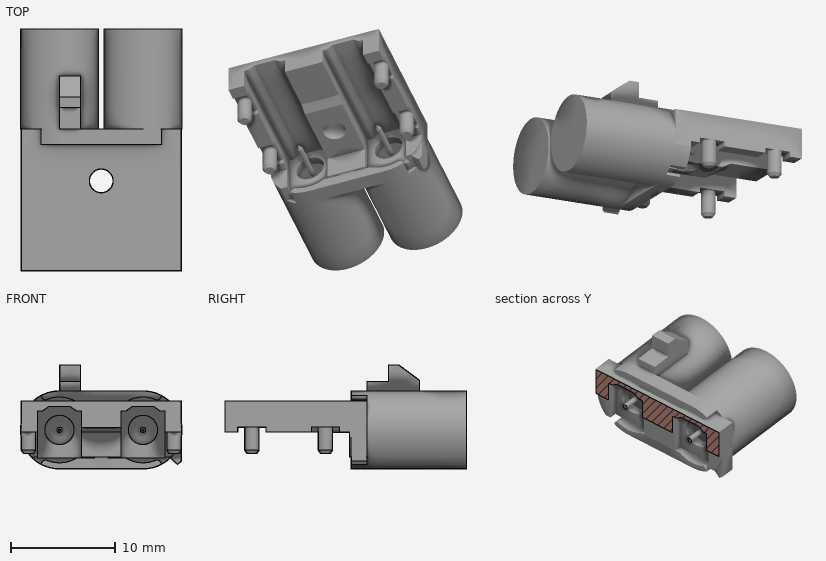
import cadquery as cq
import math

length = 23.2
width = 15.5

barrel_radius = 7.5 / 2
barrel_x = width / 2 - barrel_radius
barrel_start = 13.62

plate_half_width = 7.68
plate_top = 2.78
plate_bottom = -0.2
plate_hole_diameter = 2.25
plate_hole_y = 8.63

channel_half_width = 2.09
channel_ceiling = 1.83
crown_ceiling = 2.23
crown_base_half_width = 1.62
crown_top_half_width = 1.05
channel_end = 12.75

rib_half_width = barrel_x - channel_half_width
rib_bottom = 0.25
rib_slope_start = 4.65
rib_slope_end = 5.57

flange_start = 11.95
flange_bottom = -2.6
seat_bottom = -2.7

lip_start = 12.1
lip_inner_radius = 6.3 / 2
lip_inner_level = 2.7
lip_half_width = 5.75
lip_inner_end_angle = 24.0
lip_bulge_angle = 28.5
web_width = 1.3

pin_diameter = 1.4
pin_tip_diameter = 0.93
pin_x = plate_half_width - pin_diameter / 2
pin_rows = (2.6, 9.65)
pin_end = -2.27
pin_tip_height = 0.32
notch_length = 2.67
notch_top = 0.28

contact_diameter = 0.5
contact_tip_diameter = 0.19
contact_start = 9.63
contact_tip_length = 0.35
insulator_diameter = 2.8

latch_width = 2.02
latch_end = 18.68
latch_step_y = 15.68
latch_peak_end = 16.68
latch_step_z = 4.66
latch_nose_z = 4.75
latch_top = 6.25

spike_inner = (6.61, -2.65)
spike_tip = (7.3, -3.32)
spike_outer_z = -3.0


def box(x0, x1, y0, y1, z0, z1):
    return cq.Workplane("XY").box(x1 - x0, y1 - y0, z1 - z0, centered=False).translate((x0, y0, z0))


def profile_at(y):
    """Sketch plane at depth y, drawn in X and Z and extruded towards -Y."""
    return cq.Workplane("XZ", origin=(0, y, 0))


def cylinder_y(x, diameter, y0, y1):
    return profile_at(y1).center(x, 0).circle(diameter / 2).extrude(y1 - y0)


def make_flange():
    """Plate-wide wall whose lower corners follow the barrels."""
    depth = barrel_start - flange_start
    flange = box(-barrel_x, barrel_x, flange_start, barrel_start, flange_bottom, plate_top)
    flange = flange.union(box(-plate_half_width, plate_half_width, flange_start, barrel_start, 0, plate_top))
    below_axis = box(-plate_half_width, plate_half_width, flange_start, barrel_start, flange_bottom, 0)
    for x in (-barrel_x, barrel_x):
        rounded = profile_at(barrel_start).center(x, 0).circle(barrel_radius).extrude(depth)
        flange = flange.union(rounded.intersect(below_axis))
    return flange


def make_channel(x):
    """Cutting body of one channel, with a raised crown along its ceiling."""
    return (
        profile_at(channel_end)
        .moveTo(x - channel_half_width, seat_bottom)
        .lineTo(x - channel_half_width, channel_ceiling)
        .lineTo(x - crown_base_half_width, channel_ceiling)
        .lineTo(x - crown_top_half_width, crown_ceiling)
        .lineTo(x + crown_top_half_width, crown_ceiling)
        .lineTo(x + crown_base_half_width, channel_ceiling)
        .lineTo(x + channel_half_width, channel_ceiling)
        .lineTo(x + channel_half_width, seat_bottom)
        .close()
        .extrude(channel_end)
    )


def make_rib_relief():
    """Cutting body that raises the rib underside, ending in a slope."""
    return (
        cq.Workplane("YZ", origin=(-rib_half_width, 0, 0))
        .moveTo(0, plate_bottom)
        .lineTo(0, rib_bottom)
        .lineTo(rib_slope_start, rib_bottom)
        .lineTo(rib_slope_end, plate_bottom)
        .close()
        .extrude(2 * rib_half_width)
    )


def make_lip():
    """Upper lip: flat on top, hollowed over each barrel axis, with rounded ends."""
    outer_angle = math.asin((lip_half_width - barrel_x) / barrel_radius)
    inner_angle = math.radians(lip_inner_end_angle)
    bulge_angle = math.radians(lip_bulge_angle)
    hollow_reach = math.sqrt(lip_inner_radius**2 - lip_inner_level**2)
    middle_radius = (barrel_radius + lip_inner_radius) / 2

    def on_arc(radius, turn):
        return (barrel_x + radius * math.sin(turn), radius * math.cos(turn))

    def mirrored(point):
        return (-point[0], point[1])

    outer_end = on_arc(barrel_radius, outer_angle)
    outer_middle = on_arc(barrel_radius, outer_angle / 2)
    cap_middle = on_arc(middle_radius, bulge_angle)
    inner_end = on_arc(lip_inner_radius, inner_angle)
    hollow_top = (barrel_x, lip_inner_radius)
    hollow_start = (barrel_x - hollow_reach, lip_inner_level)

    return (
        profile_at(barrel_start)
        .moveTo(-barrel_x, barrel_radius)
        .lineTo(barrel_x, barrel_radius)
        .threePointArc(outer_middle, outer_end)
        .threePointArc(cap_middle, inner_end)
        .threePointArc(hollow_top, hollow_start)
        .lineTo(*mirrored(hollow_start))
        .threePointArc(mirrored(hollow_top), mirrored(inner_end))
        .threePointArc(mirrored(cap_middle), mirrored(outer_end))
        .threePointArc(mirrored(outer_middle), (-barrel_x, barrel_radius))
        .close()
        .extrude(barrel_start - lip_start)
    )


def make_latch():
    return (
        cq.Workplane("YZ", origin=(-barrel_x, 0, 0))
        .moveTo(barrel_start, lip_inner_radius)
        .lineTo(barrel_start, latch_step_z)
        .lineTo(latch_step_y, latch_step_z)
        .lineTo(latch_step_y, latch_top)
        .lineTo(latch_peak_end, latch_top)
        .lineTo(latch_end, latch_nose_z)
        .lineTo(latch_end, lip_inner_radius)
        .close()
        .extrude(latch_width)
    )


def make_spike():
    return (
        profile_at(barrel_start)
        .moveTo(*spike_inner)
        .lineTo(*spike_tip)
        .lineTo(plate_half_width, spike_outer_z)
        .lineTo(plate_half_width, 0)
        .lineTo(spike_inner[0], 0)
        .close()
        .extrude(barrel_start - lip_start)
    )


def make_pin(x, y):
    """Locating pin hanging from its notch, with a tapered tip."""
    shank = cq.Workplane("XY", origin=(x, y, pin_end)).circle(pin_diameter / 2)
    pin = shank.extrude(notch_top - pin_end)
    return pin.faces("<Z").chamfer(pin_tip_height, (pin_diameter - pin_tip_diameter) / 2)


def make_contact(x):
    """Contact wire with a tapered tip pointing to -Y."""
    wire = cylinder_y(x, contact_diameter, contact_start, barrel_start)
    return wire.faces("<Y").chamfer(contact_tip_length, (contact_diameter - contact_tip_diameter) / 2)


body = box(-plate_half_width, plate_half_width, 0, barrel_start, plate_bottom, plate_top)
body = body.union(make_flange())
body = body.cut(make_rib_relief())

for x in (-barrel_x, barrel_x):
    body = body.cut(make_channel(x))
    seat = box(x - channel_half_width, x + channel_half_width, channel_end, barrel_start, seat_bottom, 0)
    body = body.union(seat)
    body = body.cut(cylinder_y(x, insulator_diameter, channel_end, barrel_start))

wall_inner = barrel_x + channel_half_width
for y in pin_rows:
    for side in (-1, 1):
        x0, x1 = sorted((side * wall_inner, side * plate_half_width))
        notch = box(x0, x1, y - notch_length / 2, y + notch_length / 2, plate_bottom, notch_top)
        body = body.cut(notch).union(make_pin(side * pin_x, y))

hole_outline = cq.Workplane("XY", origin=(0, plate_hole_y, plate_bottom)).circle(plate_hole_diameter / 2)
plate_hole = hole_outline.extrude(plate_top - plate_bottom)
body = body.cut(plate_hole)

lip = make_lip()
body = body.union(lip).union(lip.mirror("XY"))
web = box(-web_width / 2, web_width / 2, lip_start, barrel_start, -lip_inner_radius, flange_bottom)
body = body.union(web)

for x in (-barrel_x, barrel_x):
    body = body.union(cylinder_y(x, 2 * barrel_radius, barrel_start, length))
    body = body.union(make_contact(x))

body = body.union(make_latch())
result = body.union(make_spike())